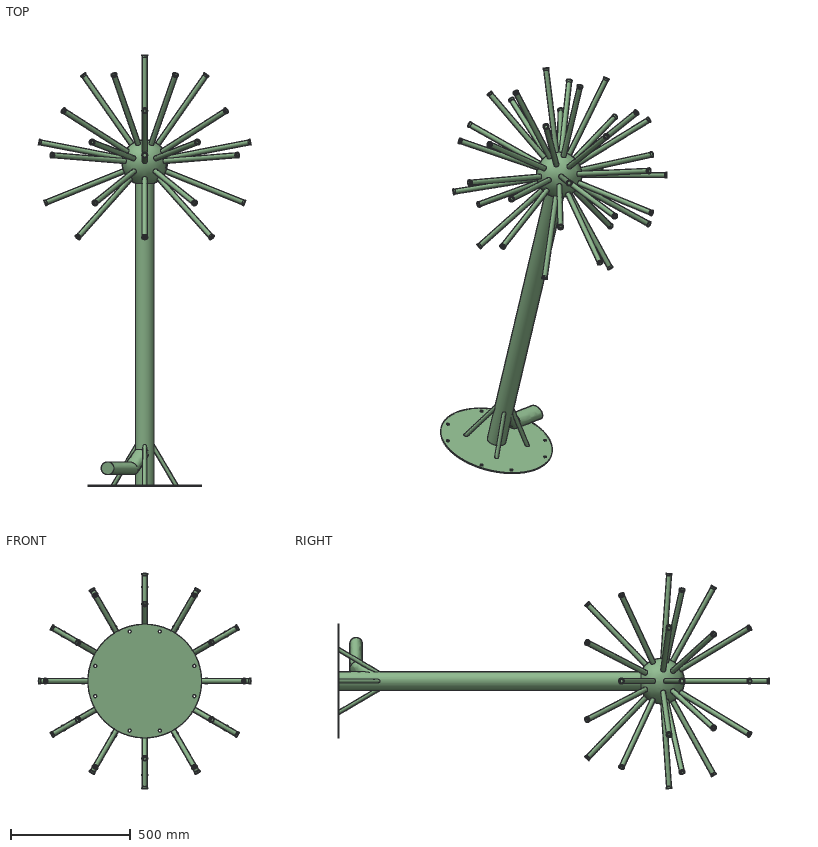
import cadquery as cq
import math

plate_diameter = 475.0
plate_thickness = 5.0
bolt_hole_diameter = 12.0
bolt_circle_radius = 216.0
bolt_offset_angle = 17.0

total_length = 1800.0
arm_reach = 450.0
column_diameter = 80.0
ball_diameter = 190.0
ball_centre_y = total_length - arm_reach

strut_count = 4
strut_diameter = 17.0
strut_foot_radius = 133.0
strut_angle = 30.5

inlet_wide = 75.0
inlet_narrow = inlet_wide * math.cos(math.radians(45))
inlet_axis_y = 75.0
inlet_top_y = 155.0
inlet_reach = 220.0

arm_diameter = 22.0
nozzle_diameter = 25.0
nozzle_rim_length = 4.0
nozzle_flare_length = 5.0
nozzle_bore_diameter = 17.0
nozzle_bore_depth = 10.0
arms_per_ring = 6
arm_spacing = 360 / arms_per_ring
ring_tilts = [35.0, 61.0, 79.0, 86.0, 112.0, 134.0]

column_axis = cq.Vector(0, 1, 0)


def make_plate():
    plate = cq.Workplane("XZ").circle(plate_diameter / 2).extrude(-plate_thickness)
    points = []
    for axis_angle in (0, 90, 180, 270):
        for side in (-1, 1):
            angle = math.radians(axis_angle + side * bolt_offset_angle)
            points.append((bolt_circle_radius * math.cos(angle), bolt_circle_radius * math.sin(angle)))
    holes = cq.Workplane("XZ").pushPoints(points).circle(bolt_hole_diameter / 2).extrude(-plate_thickness)
    return plate.cut(holes)


def make_column():
    column = cq.Workplane("XZ").circle(column_diameter / 2).extrude(-ball_centre_y)
    ball = cq.Workplane("XY", origin=(0, ball_centre_y, 0)).sphere(ball_diameter / 2)
    return column.union(ball)


def make_strut(azimuth):
    """Round rod leaning in to the column axis, trimmed flush with the outer face of the plate."""
    tilt = math.radians(strut_angle)
    outward = cq.Vector(math.cos(azimuth), 0, math.sin(azimuth))
    direction = column_axis * math.cos(tilt) - outward * math.sin(tilt)
    trim_allowance = 2 * strut_diameter
    start = outward * strut_foot_radius - direction * trim_allowance
    length = strut_foot_radius / math.sin(tilt) + trim_allowance
    strut = cq.Workplane(cq.Solid.makeCylinder(strut_diameter / 2, length, start, direction))
    outside_plate = cq.Workplane("XZ").circle(plate_diameter / 2).extrude(trim_allowance)
    return strut.cut(outside_plate)


def make_inlet():
    outward = cq.Vector(-1, 0, 1).normalized()
    drop = inlet_top_y - inlet_axis_y
    end = outward * inlet_reach + column_axis * inlet_axis_y
    bend = outward * drop + column_axis * inlet_axis_y
    run_on = (column_axis - outward) * (inlet_wide / 2)
    past_top = column_axis * inlet_top_y + run_on
    path = cq.Workplane("XY").polyline([end.toTuple(), bend.toTuple(), past_top.toTuple()])
    end_plane = cq.Plane(
        origin=end.toTuple(),
        xDir=column_axis.toTuple(),
        normal=(outward * -1).toTuple(),
    )
    pipe = cq.Workplane(end_plane).ellipse(inlet_narrow / 2, inlet_wide / 2).sweep(path, transition="right")
    above_top = cq.Workplane("XZ", origin=(0, inlet_top_y, 0)).circle(inlet_reach).extrude(-inlet_reach)
    return pipe.cut(above_top)


def make_arm(tilt, azimuth):
    """Arm from the ball centre, leaning by tilt from +Y towards azimuth, measured from +X to +Z."""
    rim_start = arm_reach - nozzle_rim_length
    flare_start = rim_start - nozzle_flare_length
    bore_floor = arm_reach - nozzle_bore_depth
    profile = [
        (0, 0),
        (arm_diameter / 2, 0),
        (arm_diameter / 2, flare_start),
        (nozzle_diameter / 2, rim_start),
        (nozzle_diameter / 2, arm_reach),
        (nozzle_bore_diameter / 2, arm_reach),
        (nozzle_bore_diameter / 2, bore_floor),
        (0, bore_floor),
    ]
    upright = cq.Workplane("XY").polyline(profile).close().revolve(360, (0, 0), (0, 1))
    leaning = upright.rotate((0, 0, 0), (0, 0, 1), -tilt)
    return leaning.rotate((0, 0, 0), (0, 1, 0), -azimuth).translate((0, ball_centre_y, 0))


result = make_plate().union(make_column()).union(make_inlet())

for index in range(strut_count):
    result = result.union(make_strut(index * 2 * math.pi / strut_count))

result = result.union(make_arm(0, 0))
for ring, tilt in enumerate(ring_tilts):
    first_azimuth = (ring % 2) * arm_spacing / 2
    for index in range(arms_per_ring):
        result = result.union(make_arm(tilt, first_azimuth + index * arm_spacing))